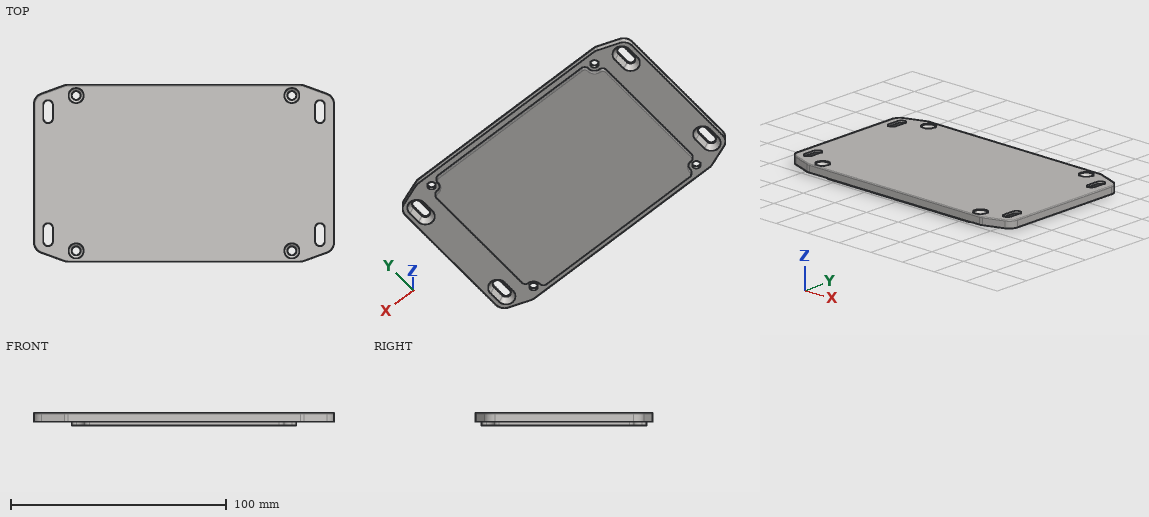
import cadquery as cq
import math

plate_length = 139.25
plate_width = 82.1
total_height = 6.0
plate_thickness = 4.2
lip_height = total_height - plate_thickness

corner_slope_angle = 20.0
corner_run = 14.9
corner_drop = corner_run * math.tan(math.radians(corner_slope_angle))
corner_radius = 5.2
edge_radius = 0.45

slot_length = 10.5
slot_width = 4.4
slot_x = 63.0
slot_y = 28.5
slot_straight_depth = 1.1
slot_flare_angle = 35.0

screw_x = 50.0
screw_y = 36.0
screw_diameter = 4.0
countersink_diameter = 7.0
countersink_angle = 90.0
recess_depth = 0.5

lip_length = 104.2
lip_width = 76.6
lip_notch_radius = 3.7


def mirrored_points(x, y):
    """Return the four copies of a point mirrored about both plate axes."""
    return [(sx * x, sy * y) for sx in (-1, 1) for sy in (-1, 1)]


def make_plate():
    """Rectangular plate with rounded, sloped corners and a rounded top edge."""
    half_length = plate_length / 2
    half_width = plate_width / 2
    shoulder_x = half_length - corner_run
    shoulder_y = half_width - corner_drop
    outline = [
        (shoulder_x, half_width),
        (half_length, shoulder_y),
        (half_length, -shoulder_y),
        (shoulder_x, -half_width),
        (-shoulder_x, -half_width),
        (-half_length, -shoulder_y),
        (-half_length, shoulder_y),
        (-shoulder_x, half_width),
    ]
    plate = cq.Workplane("XY").polyline(outline).close().extrude(plate_thickness)
    plate = plate.edges("|Z").fillet(corner_radius)
    return plate.faces(">Z").edges().fillet(edge_radius)


def lip_corner_points():
    """Points of the +X +Y lip corner from the X side to the Y side: start, then each arc's middle and end."""
    diagonal = math.sqrt(0.5)
    radius_x = lip_length / 2 - screw_x
    radius_y = lip_width / 2 - screw_y
    notch_bottom = screw_y - lip_notch_radius
    notch_side = screw_x - lip_notch_radius
    notch_reach = lip_notch_radius * diagonal
    side_center_y = notch_bottom - radius_x
    end_center_x = notch_side - radius_y
    return [
        (lip_length / 2, side_center_y),
        (screw_x + radius_x * diagonal, side_center_y + radius_x * diagonal),
        (screw_x, notch_bottom),
        (screw_x - notch_reach, screw_y - notch_reach),
        (notch_side, screw_y),
        (end_center_x + radius_y * diagonal, screw_y + radius_y * diagonal),
        (end_center_x, lip_width / 2),
    ]


def make_lip():
    """Pad under the plate, notched around each screw, with a rounded lower edge."""
    points = lip_corner_points()
    outline = cq.Workplane("XY", origin=(0, 0, -lip_height)).moveTo(*points[0])
    for sign_x, sign_y in [(1, 1), (-1, 1), (-1, -1), (1, -1)]:
        ordered = points if sign_x == sign_y else points[::-1]
        corner = [(sign_x * x, sign_y * y) for x, y in ordered]
        if (sign_x, sign_y) != (1, 1):
            outline = outline.lineTo(*corner[0])
        for middle, end in zip(corner[1::2], corner[2::2]):
            outline = outline.threePointArc(middle, end)
    lip = outline.close().extrude(lip_height)
    return lip.faces("<Z").edges().fillet(edge_radius)


def cut_slots(body):
    """Cut the four mounting slots, each straight near the top and flaring towards the underside."""
    flare_height = plate_thickness - slot_straight_depth
    flare_growth = 2 * flare_height * math.tan(math.radians(slot_flare_angle))
    locations = mirrored_points(slot_x, slot_y)
    straight_cutter = (
        cq.Workplane("XY")
        .pushPoints(locations)
        .slot2D(slot_length, slot_width, 90)
        .extrude(plate_thickness)
    )
    flare_cutter = (
        cq.Workplane("XY")
        .pushPoints(locations)
        .slot2D(slot_length + flare_growth, slot_width + flare_growth, 90)
        .extrude(flare_height, taper=slot_flare_angle)
    )
    return body.cut(straight_cutter).cut(flare_cutter)


def cut_screw_holes(body):
    """Cut the four screw holes, each with a countersink below a shallow straight recess."""
    cone_top = plate_thickness - recess_depth
    locations = mirrored_points(screw_x, screw_y)
    recess_cutter = (
        cq.Workplane("XY", origin=(0, 0, cone_top))
        .pushPoints(locations)
        .circle(countersink_diameter / 2)
        .extrude(recess_depth)
    )
    return (
        body.cut(recess_cutter)
        .copyWorkplane(cq.Workplane("XY", origin=(0, 0, cone_top)))
        .pushPoints(locations)
        .cskHole(screw_diameter, countersink_diameter, countersink_angle)
    )


result = cut_screw_holes(cut_slots(make_plate().union(make_lip())))